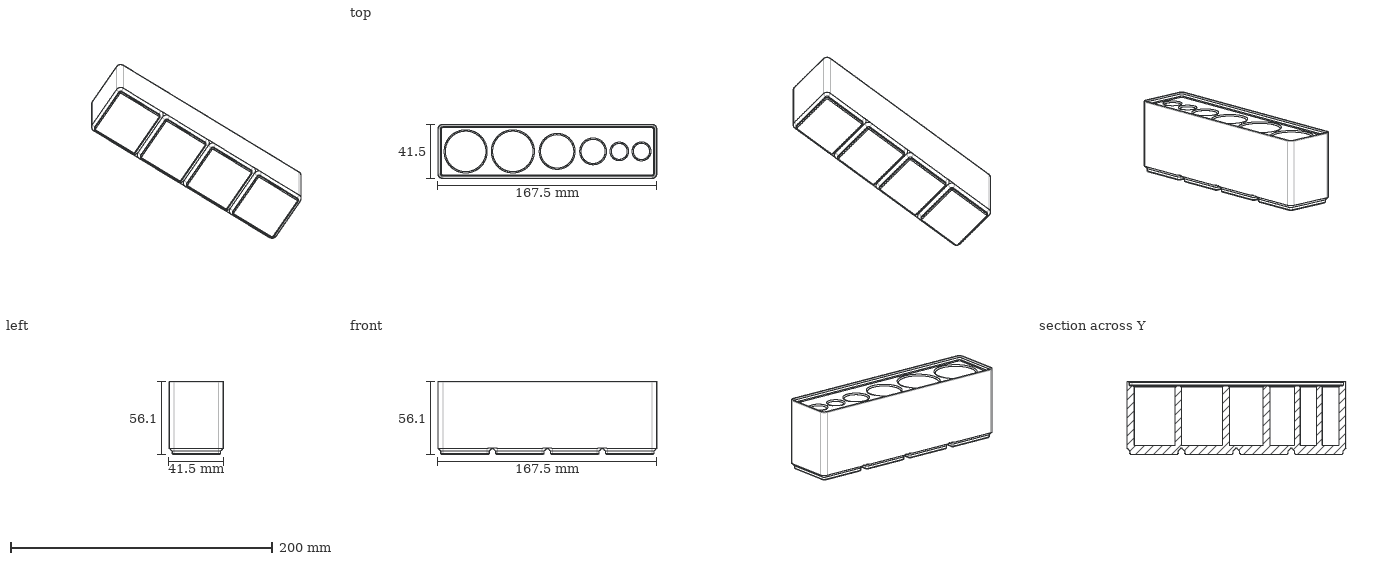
import cadquery as cq
import math

GRID_PITCH = 42.0
CELLS = 4
SIDE_CLEARANCE = 0.25
GRID_CORNER_RADIUS = 4.0

LENGTH = CELLS * GRID_PITCH - 2 * SIDE_CLEARANCE
WIDTH = GRID_PITCH - 2 * SIDE_CLEARANCE
DECK_Z = 52.5
CORNER_RADIUS = GRID_CORNER_RADIUS - SIDE_CLEARANCE

TAPER_ANGLE = 45

FOOT_LOWER_TAPER = 0.8
FOOT_STRAIGHT = 1.8
FOOT_UPPER_TAPER = 2.4
FOOT_HEIGHT = FOOT_LOWER_TAPER + FOOT_STRAIGHT + FOOT_UPPER_TAPER

LIP_LOWER_TAPER = 0.7
LIP_STRAIGHT = 1.8
LIP_UPPER_TAPER = 1.9
LIP_RIM_RADIUS = 0.6
LIP_WIDTH = LIP_LOWER_TAPER + LIP_UPPER_TAPER
KNIFE_ANGLE = math.radians(TAPER_ANGLE)

SOCKETS = [
    (-62.5, 31.0),
    (-26.4, 31.0),
    (7.5, 25.5),
    (35.0, 18.5),
    (55.0, 12.2),
    (72.0, 12.5),
]
SOCKET_CHAMFER = 1.0
SOCKET_FLOOR_Z = 7.0


def rounded_prism(length, width, radius, bottom_z, height):
    """Upright prism with rounded vertical edges, centred on the Z axis."""
    base = cq.Workplane("XY").workplane(offset=bottom_z)
    return base.rect(length, width).extrude(height).edges("|Z").fillet(radius)


def flared_prism(top_size, top_radius, bottom_z, height):
    """Square rounded prism that widens upward at 45 degrees to its top size."""
    sketch = cq.Sketch().rect(top_size, top_size).vertices().fillet(top_radius)
    top = cq.Workplane("XY").workplane(offset=bottom_z + height)
    return top.placeSketch(sketch).extrude(-height, taper=TAPER_ANGLE)


def make_foot():
    """One cell's foot, flaring out to the full grid pitch at its top."""
    waist_size = GRID_PITCH - 2 * FOOT_UPPER_TAPER
    waist_radius = GRID_CORNER_RADIUS - FOOT_UPPER_TAPER
    waist_top_z = FOOT_LOWER_TAPER + FOOT_STRAIGHT
    foot = flared_prism(waist_size, waist_radius, 0, FOOT_LOWER_TAPER)
    waist = rounded_prism(waist_size, waist_size, waist_radius, FOOT_LOWER_TAPER, FOOT_STRAIGHT)
    flare = flared_prism(GRID_PITCH, GRID_CORNER_RADIUS, waist_top_z, FOOT_UPPER_TAPER)
    return foot.union(waist).union(flare)


def make_block():
    """Plain block on its row of feet, trimmed to the outer walls."""
    block = rounded_prism(LENGTH, WIDTH, CORNER_RADIUS, FOOT_HEIGHT, DECK_Z - FOOT_HEIGHT)
    envelope = rounded_prism(LENGTH, WIDTH, CORNER_RADIUS, 0, DECK_Z)
    foot = make_foot()
    for cell in range(CELLS):
        x = (cell - (CELLS - 1) / 2) * GRID_PITCH
        block = block.union(foot.translate((x, 0, 0)).intersect(envelope))
    return block


def make_lip():
    """Stacking lip swept around the outer wall."""
    outer_x = LENGTH / 2
    knife_z = DECK_Z + LIP_LOWER_TAPER + LIP_STRAIGHT + LIP_UPPER_TAPER
    tangent_length = LIP_RIM_RADIUS / math.tan(KNIFE_ANGLE / 2)
    tangent_offset = tangent_length * math.sin(KNIFE_ANGLE)
    arc_center_x = outer_x - LIP_RIM_RADIUS
    arc_center_z = knife_z - tangent_length

    profile = (
        cq.Workplane("XZ")
        .moveTo(outer_x - LIP_WIDTH, DECK_Z)
        .lineTo(outer_x, DECK_Z)
        .lineTo(outer_x, arc_center_z)
        .threePointArc(
            (arc_center_x, arc_center_z + LIP_RIM_RADIUS),
            (outer_x - tangent_offset, knife_z - tangent_offset),
        )
        .lineTo(outer_x - LIP_UPPER_TAPER, knife_z - LIP_UPPER_TAPER)
        .lineTo(outer_x - LIP_UPPER_TAPER, DECK_Z + LIP_LOWER_TAPER)
        .close()
    )
    straight_y = WIDTH / 2 - CORNER_RADIUS
    straight_x = LENGTH / 2 - CORNER_RADIUS
    path = (
        cq.Workplane("XY")
        .workplane(offset=DECK_Z)
        .moveTo(outer_x, 0)
        .lineTo(outer_x, straight_y)
        .radiusArc((straight_x, WIDTH / 2), -CORNER_RADIUS)
        .lineTo(-straight_x, WIDTH / 2)
        .radiusArc((-outer_x, straight_y), -CORNER_RADIUS)
        .lineTo(-outer_x, -straight_y)
        .radiusArc((-straight_x, -WIDTH / 2), -CORNER_RADIUS)
        .lineTo(straight_x, -WIDTH / 2)
        .radiusArc((outer_x, -straight_y), -CORNER_RADIUS)
        .close()
    )
    return profile.sweep(path)


def make_socket(x, diameter):
    """Cutter for a flat-bottomed socket with a chamfered mouth."""
    depth = DECK_Z - SOCKET_FLOOR_Z
    deck = cq.Workplane("XY").workplane(offset=DECK_Z).center(x, 0)
    bore = deck.circle(diameter / 2).extrude(-depth)
    mouth = deck.circle(diameter / 2 + SOCKET_CHAMFER).extrude(-SOCKET_CHAMFER, taper=TAPER_ANGLE)
    return bore.union(mouth)


result = make_block().union(make_lip())
for socket_x, socket_diameter in SOCKETS:
    result = result.cut(make_socket(socket_x, socket_diameter))